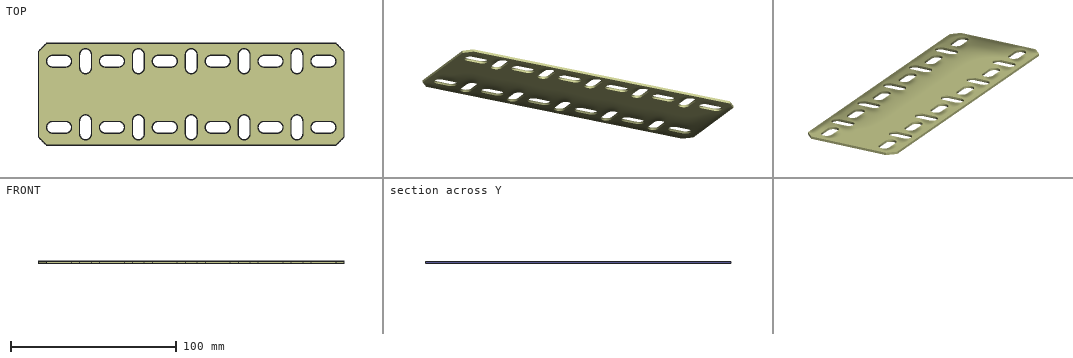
import cadquery as cq

plate_length = 185.0
plate_width = 62.0
plate_thickness = 1.5
corner_chamfer = 5.0

slot_length = 15.0
slot_width = 7.0
slot_pitch = 16.0
slots_per_row = 11
row_spacing = 40.0


def chamfered_plate():
    """Flat plate centred on the origin in X and Y, with its base on Z = 0."""
    plate = cq.Workplane("XY").box(
        plate_length, plate_width, plate_thickness, centered=(True, True, False)
    )
    return plate.edges("|Z").chamfer(corner_chamfer)


def slot_centres(first, last):
    """Centres in both rows of every second slot, counted from the middle slot."""
    return [
        (index * slot_pitch, side * row_spacing / 2)
        for index in range(first, last + 1, 2)
        for side in (-1, 1)
    ]


def cut_slots(plate, centres, angle):
    """Cut round-ended through slots, turned by angle from the X axis."""
    return (
        plate.faces(">Z")
        .workplane(origin=(0, 0, plate_thickness))
        .pushPoints(centres)
        .slot2D(slot_length, slot_width, angle)
        .cutThruAll()
    )


end_index = slots_per_row // 2
lengthwise_centres = slot_centres(-end_index, end_index)
crosswise_centres = slot_centres(1 - end_index, end_index - 1)

result = chamfered_plate()
result = cut_slots(result, lengthwise_centres, angle=0)
result = cut_slots(result, crosswise_centres, angle=90)